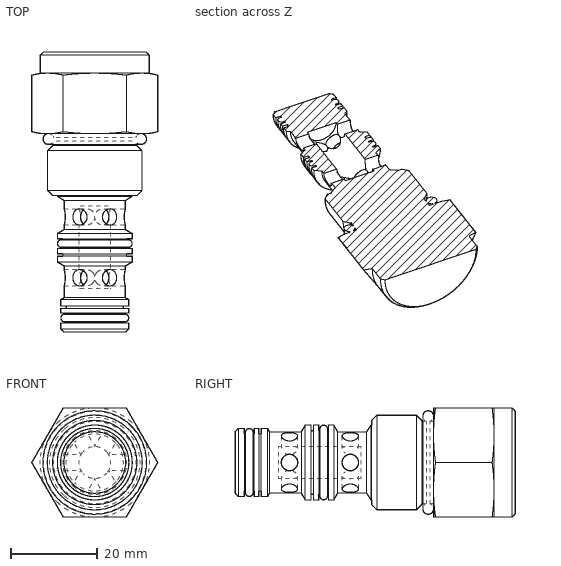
import cadquery as cq
import math

overall_length = 65.15

nose_diameter = 15.9
nose_groove_diameter = 13.3
nose_tip_chamfer = 0.8
nose_seal_groove = (2.15, 4.4)
nose_ring_groove = (5.55, 6.05)
nose_end = 7.55
nose_shoulder_length = 0.45

neck_diameter = 14.25
port_diameter = 3.8
port_count = 6
port_stations = (12.65, 26.8)
bore_diameter = 7.4
bore_overrun = 0.65

land_diameter = 17.45
land_groove_diameter = 14.85
land_start = 16.3
land_end = 22.9
land_shoulder_length = 0.9
land_ring_groove = (17.65, 18.2)
land_seal_groove = (19.5, 21.7)

cone_start = 30.55
cone_end = 31.5
collar_diameter = 17.4
body_diameter = 22.0
body_end_diameter = 19.6
body_groove_diameter = 19.15
body_start = 31.7
body_end = 43.4
body_chamfer = (body_diameter - body_end_diameter) / 2

hex_across_flats = 25.4
hex_start = 46.1
hex_end = 60.2
hex_corner_drop = 0.45
cap_chamfer = 0.8

nose_seal_diameter = 15.8
land_seal_diameter = 17.4
small_seal_section = 1.8
body_seal_diameter = 24.1
body_seal_section = 2.55
body_seal_station = 44.9


def cone(start, end, start_diameter, end_diameter):
    """Solid of revolution about Y whose diameter changes evenly from start to end."""
    outline = [(0, start), (start_diameter / 2, start), (end_diameter / 2, end), (0, end)]
    return cq.Workplane("XY").polyline(outline).close().revolve(360, (0, 0), (0, 1))


def cylinder(start, end, diameter):
    return cone(start, end, diameter, diameter)


def groove(span, outer_diameter, floor_diameter):
    return cylinder(*span, outer_diameter + 0.65).cut(cylinder(*span, floor_diameter))


def seal(station, outer_diameter, section_diameter):
    center_radius = (outer_diameter - section_diameter) / 2
    section = (
        cq.Workplane("XY")
        .transformed(offset=(center_radius, station, 0), rotate=(0, 0, 180))
        .circle(section_diameter / 2)
    )
    return section.revolve(360, (center_radius, 0), (center_radius, -1))


def middle(span):
    return sum(span) / 2


def make_nose():
    tip_diameter = nose_diameter - 2 * nose_tip_chamfer
    nose = cone(0, nose_tip_chamfer, tip_diameter, nose_diameter)
    nose = nose.union(cylinder(nose_tip_chamfer, nose_end, nose_diameter))
    shoulder_end = nose_end + nose_shoulder_length
    nose = nose.union(cone(nose_end, shoulder_end, nose_diameter, neck_diameter))
    for span in (nose_seal_groove, nose_ring_groove):
        nose = nose.cut(groove(span, nose_diameter, nose_groove_diameter))
    return nose.union(seal(middle(nose_seal_groove), nose_seal_diameter, small_seal_section))


def make_land():
    land = cylinder(land_start, land_end, land_diameter)
    lower_start = land_start - land_shoulder_length
    upper_end = land_end + land_shoulder_length
    land = land.union(cone(lower_start, land_start, neck_diameter, land_diameter))
    land = land.union(cone(land_end, upper_end, land_diameter, neck_diameter))
    for span in (land_ring_groove, land_seal_groove):
        land = land.cut(groove(span, land_diameter, land_groove_diameter))
    return land.union(seal(middle(land_seal_groove), land_seal_diameter, small_seal_section))


def make_body():
    body = cylinder(body_start, body_end, body_diameter).faces("<Y or >Y").chamfer(body_chamfer)
    body = body.union(cone(cone_start, cone_end, neck_diameter, collar_diameter))
    body = body.union(cylinder(cone_end, body_start, collar_diameter))
    body = body.union(cylinder(body_end, hex_start, body_groove_diameter))
    return body.union(seal(body_seal_station, body_seal_diameter, body_seal_section))


def make_hexagon():
    """Hexagon with corners on X, its corners trimmed by a shallow cone at each end."""
    corner_diameter = hex_across_flats / math.cos(math.pi / 6)
    prism = (
        cq.Workplane("XZ", origin=(0, hex_end, 0))
        .polygon(6, corner_diameter)
        .extrude(hex_end - hex_start)
    )
    lower_edge = hex_start + hex_corner_drop
    upper_edge = hex_end - hex_corner_drop
    envelope = cone(hex_start, lower_edge, hex_across_flats, corner_diameter)
    envelope = envelope.union(cylinder(lower_edge, upper_edge, corner_diameter))
    envelope = envelope.union(cone(upper_edge, hex_end, corner_diameter, hex_across_flats))
    return prism.intersect(envelope)


def make_cap():
    cap = cylinder(hex_end, overall_length, hex_across_flats)
    return cap.faces(">Y").chamfer(cap_chamfer)


def make_ports():
    """Closed inner bore and the radial ports that open into it."""
    bore_reach = port_diameter / 2 + bore_overrun
    cutter = cylinder(port_stations[0] - bore_reach, port_stations[1] + bore_reach, bore_diameter)
    for station in port_stations:
        for index in range(port_count):
            port = (
                cq.Workplane("YZ", origin=(0, station, 0))
                .circle(port_diameter / 2)
                .extrude(neck_diameter)
                .rotate((0, 0, 0), (0, 1, 0), index * 360 / port_count)
            )
            cutter = cutter.union(port)
    return cutter


sleeve = cylinder(nose_end, land_start, neck_diameter)
sleeve = sleeve.union(cylinder(land_end, cone_start, neck_diameter))
result = sleeve.union(make_nose()).union(make_land()).union(make_body())
result = result.union(make_hexagon()).union(make_cap())
result = result.cut(make_ports())